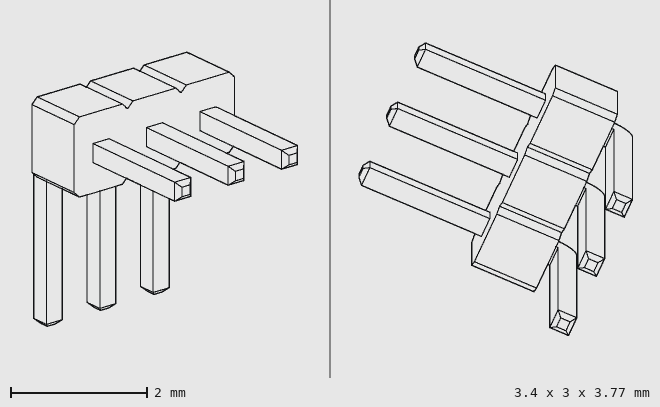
import cadquery as cq

pin_count = 3
total_length = 3.4
housing_length = 3.0
total_height = 3.77
housing_depth = 1.0
housing_height = 1.27
housing_bevel = 0.098
pin_width = 0.3
tip_chamfer = 0.075
housing_back = 0.4

pitch = housing_length / pin_count
half_pin = pin_width / 2
half_height = housing_height / 2
leg_bottom = half_height - total_height
pin_rows = [(i - (pin_count - 1) / 2) * pitch for i in range(pin_count)]


def housing_segment(y):
    """One bevelled housing block; neighbouring bevels form the V grooves."""
    return (
        cq.Workplane("XY")
        .box(housing_depth, pitch, housing_height)
        .edges("|X")
        .chamfer(housing_bevel)
        .translate((housing_back + housing_depth / 2, y, 0))
    )


def bent_pin(y):
    """Square right-angle pin: round outer bend, sharp inner corner, chamfered tips."""
    return (
        cq.Workplane("XZ")
        .moveTo(0, leg_bottom)
        .lineTo(pin_width, leg_bottom)
        .lineTo(pin_width, -half_pin)
        .lineTo(total_length, -half_pin)
        .lineTo(total_length, half_pin)
        .lineTo(pin_width, half_pin)
        .radiusArc((0, -half_pin), -pin_width)
        .close()
        .extrude(half_pin, both=True)
        .faces(">X or <Z")
        .chamfer(tip_chamfer)
        .translate((0, y, 0))
    )


result = housing_segment(pin_rows[0])
for row in pin_rows[1:]:
    result = result.union(housing_segment(row))
for row in pin_rows:
    result = result.union(bent_pin(row))
result = result.clean()